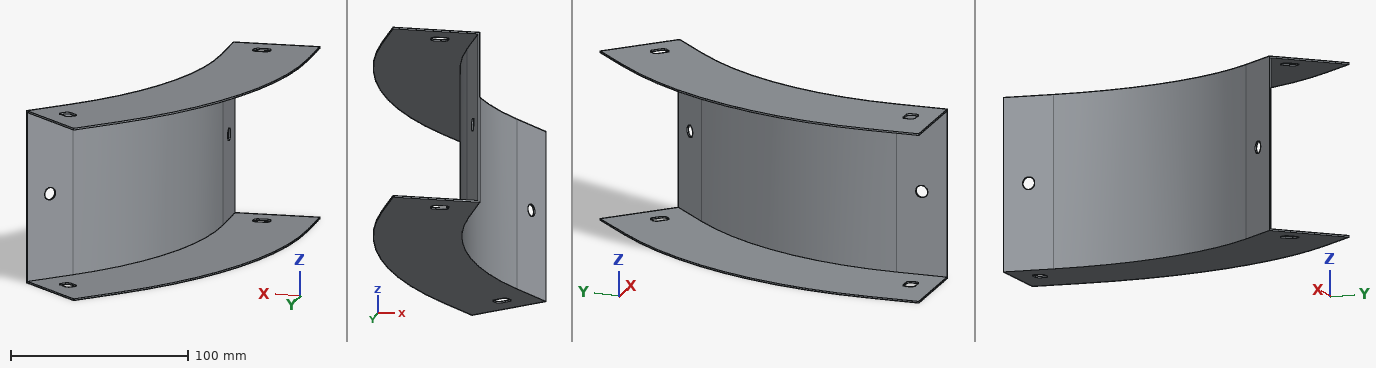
import cadquery as cq
import math

length = 221.0
height = 100.0
flange_width = 50.0
straight = 30.0
sheet = 1.0
bend_angle = 45.0
hole_diameter = 7.0
slot_length = 10.0
slot_width = 7.0
slot_corner = 2.5
slot_offset = 30.0

sine = math.sin(math.radians(bend_angle))
outer_radius = (length - straight * (1 + sine)) / sine
inner_radius = outer_radius - flange_width
fixing_setback = straight / 2


def at_start(radius, y):
    """Point on the starting straight run, at a distance from the bend centre."""
    return (outer_radius - radius, y)


def on_bend(radius, angle, beyond=0.0):
    """Point at an angle round the bend, optionally beyond it along the tangent."""
    turn = math.radians(angle)
    x = outer_radius - radius * math.cos(turn) + beyond * math.sin(turn)
    y = straight + radius * math.sin(turn) + beyond * math.cos(turn)
    return (x, y)


def curved_strip(far_radius, near_radius, thickness):
    """Upright solid between two radii, following straight, bend and straight."""
    return (
        cq.Workplane("XY")
        .moveTo(*at_start(far_radius, 0))
        .lineTo(*at_start(far_radius, straight))
        .threePointArc(on_bend(far_radius, bend_angle / 2), on_bend(far_radius, bend_angle))
        .lineTo(*on_bend(far_radius, bend_angle, straight))
        .lineTo(*on_bend(near_radius, bend_angle, straight))
        .lineTo(*on_bend(near_radius, bend_angle))
        .threePointArc(on_bend(near_radius, bend_angle / 2), at_start(near_radius, straight))
        .lineTo(*at_start(near_radius, 0))
        .close()
        .extrude(thickness)
    )


def end_fixings(x, y, angle):
    """Flange slots and wall hole for one end, from a point on the outer edge and its turn."""
    slots = (
        cq.Workplane("XY")
        .center(slot_offset, 0)
        .rect(slot_length, slot_width)
        .extrude(height)
        .edges("|Z")
        .fillet(slot_corner)
    )
    hole = (
        cq.Workplane("YZ", origin=(flange_width - 2 * sheet, 0, height / 2))
        .circle(hole_diameter / 2)
        .extrude(3 * sheet)
    )
    return slots.union(hole).rotate((0, 0, 0), (0, 0, 1), -angle).translate((x, y, 0))


bottom_flange = curved_strip(outer_radius, inner_radius, sheet)
top_flange = bottom_flange.translate((0, 0, height - sheet))
wall = curved_strip(inner_radius + sheet, inner_radius, height)
channel = bottom_flange.union(top_flange).union(wall)

start_fixings = end_fixings(*at_start(outer_radius, fixing_setback), 0)
far_fixings = end_fixings(*on_bend(outer_radius, bend_angle, fixing_setback), bend_angle)
result = channel.cut(start_fixings).cut(far_fixings)